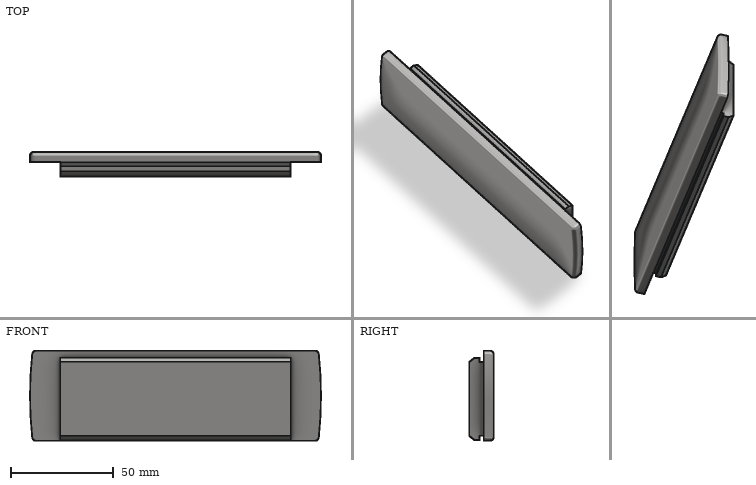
import cadquery as cq

plate_length = 141.7
plate_height = 44.0
plate_thickness = 5.0
end_bow = 1.3
corner_radius = 2.0
back_edge_radius = 2.0

block_length = 112.0
block_height = 40.0
block_depth = 7.1
neck_depth = 2.0
neck_inset = 2.0
chamfer_depth = 2.5
chamfer_inset = 2.0
block_drop = 1.5



def make_plate():
    """Plate with rounded corners and a rounded rim on its back face."""
    end_x = plate_length / 2
    corner_x = end_x - end_bow
    corner_z = plate_height / 2
    return (
        cq.Workplane("XZ")
        .moveTo(-corner_x, -corner_z)
        .lineTo(corner_x, -corner_z)
        .threePointArc((end_x, 0), (corner_x, corner_z))
        .lineTo(-corner_x, corner_z)
        .threePointArc((-end_x, 0), (-corner_x, -corner_z))
        .close()
        .extrude(-plate_thickness)
        .edges("|Y")
        .fillet(corner_radius)
        .faces(">Y")
        .edges()
        .fillet(back_edge_radius)
    )


def make_block():
    """Constant section along X: neck, wider body, chamfered front edges."""
    body_z = block_height / 2
    neck_z = body_z - neck_inset
    front_z = body_z - chamfer_inset
    chamfer_start_y = -(block_depth - chamfer_depth)
    upper_half = [
        (0, neck_z),
        (-neck_depth, neck_z),
        (-neck_depth, body_z),
        (chamfer_start_y, body_z),
        (-block_depth, front_z),
    ]
    lower_half = [(y, -z) for y, z in reversed(upper_half)]
    return (
        cq.Workplane("YZ")
        .polyline(upper_half + lower_half)
        .close()
        .extrude(block_length / 2, both=True)
    )


result = make_plate().union(make_block().translate((0, 0, -block_drop)))